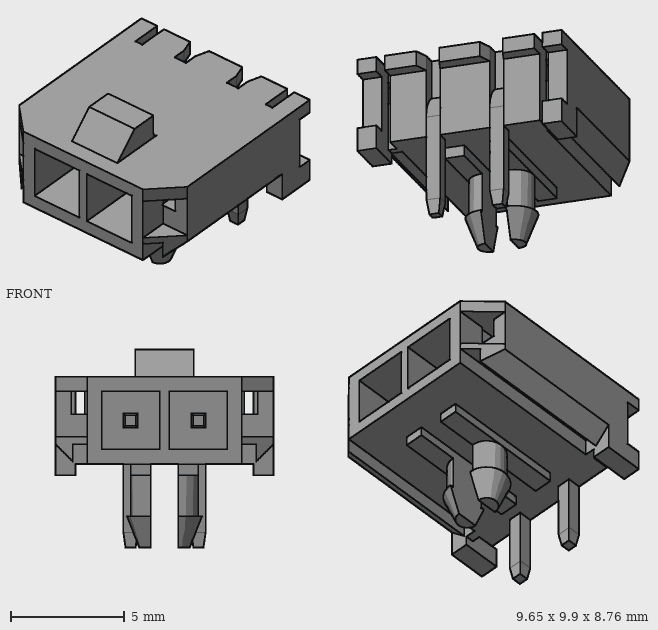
import cadquery as cq
import math


WIDTH = 9.65
DEPTH = 9.9
STANDOFF = 0.5
HEIGHT = 3.87
BOTTOM = STANDOFF
TOP = BOTTOM + HEIGHT
HALF_WIDTH = WIDTH / 2

OVERHANG = 0.69
REAR_WALL_Y = DEPTH - OVERHANG
ROOF_BOTTOM = TOP - 0.69
FOOT_WIDTH = 0.9
FOOT_FRONT_Y = 7.98
FOOT_TOP = 1.09

CORNER = 1.4
NICHE_BOTTOM = 1.72
NICHE_TOP = 3.72
SKIRT_TOP = 1.39
SKIRT_SIZE = 0.78

CLIP_SLOT_INSET = 0.9
CLIP_SLOT_WIDTH = 0.39
CLIP_SLOT_LENGTH = 1.51
CLIP_SLOT_FRONT_Y = DEPTH - CLIP_SLOT_LENGTH
CLIP_POCKET_WIDTH = 0.78
CLIP_POCKET_INSET = CLIP_SLOT_INSET - (CLIP_POCKET_WIDTH - CLIP_SLOT_WIDTH) / 2
CLIP_POCKET_BOTTOM = 2.71

PITCH = 3.0
CAVITY_SIZE = 2.57
CAVITY_PITCH = 2.99
CAVITY_DEPTH = 6.5

LATCH_WIDTH = 2.6
LATCH_HEIGHT = 1.2
LATCH_FRONT_Y = 0.8
LATCH_CREST_Y = 2.0
LATCH_REAR_Y = 3.31
LATCH_FILLET = 0.23

PEG_FLAT_X = 0.6
PEG_Y = 4.6
PEG_RADIUS = 0.9
PEG_BARB_RADIUS = 1.06
PEG_TIP_RADIUS = 0.52
PEG_BARB_Z = -1.8
RAIL_LENGTH = 6.02
RAIL_REAR_Y = 7.71

PIN_SIZE = 0.65
PIN_TIP_SIZE = 0.45
PIN_TAPER = 0.68
PIN_AXIS_Z = 2.43
PIN_FRONT_Y = 2.0
PIN_TAIL_Z = -3.19
PIN_BEND_OUTER = 1.3
PIN_BEND_INNER = PIN_BEND_OUTER - PIN_SIZE
PIN_TOP = PIN_AXIS_Z + PIN_SIZE / 2
PIN_BEND_Z = PIN_TOP - PIN_BEND_OUTER
PIN_TAIL_FRONT_Y = REAR_WALL_Y - PIN_SIZE
PIN_TAIL_AXIS_Y = REAR_WALL_Y - PIN_SIZE / 2
PIN_FLARE_WIDTH = 1.09

PIN_XS = [-PITCH / 2, PITCH / 2]
CAVITY_XS = [-CAVITY_PITCH / 2, CAVITY_PITCH / 2]


def block(x_min, x_max, y_min, y_max, z_min, z_max):
    """Axis-aligned box between the given limits."""
    size = (x_max - x_min, y_max - y_min, z_max - z_min)
    return cq.Workplane("XY").box(*size, centered=False).translate((x_min, y_min, z_min))


def side_block(inset_min, inset_max, y_min, y_max, z_min, z_max):
    """Left-hand box whose X limits are distances inward from the side wall."""
    return block(inset_min - HALF_WIDTH, inset_max - HALF_WIDTH, y_min, y_max, z_min, z_max)


def mirrored_pair(left):
    """A left-hand shape together with its mirror image across X = 0."""
    return [left, left.mirror("YZ")]


def make_shell():
    """Main block with 45-degree front corners and a roof that overhangs at the rear."""
    shell = block(-HALF_WIDTH, HALF_WIDTH, 0, DEPTH, BOTTOM, TOP)
    shell = shell.faces("<Y").edges("|Z").chamfer(CORNER)
    return shell.cut(block(-HALF_WIDTH, HALF_WIDTH, REAR_WALL_Y, DEPTH, BOTTOM, ROOF_BOTTOM))


def make_side_undercut():
    """Cutter along the lower side wall that leaves a wedge-shaped skirt before the foot."""
    skirt_inner_x = -HALF_WIDTH + SKIRT_SIZE
    core_x = -HALF_WIDTH + CORNER
    outline = [
        (-HALF_WIDTH, SKIRT_TOP),
        (skirt_inner_x, SKIRT_TOP - SKIRT_SIZE),
        (skirt_inner_x, SKIRT_TOP),
        (core_x, SKIRT_TOP),
        (core_x, BOTTOM),
        (-HALF_WIDTH, BOTTOM),
    ]
    return cq.Workplane("XZ").polyline(outline).close().extrude(-FOOT_FRONT_Y)


def make_foot():
    """Rear foot that stands on the board."""
    return side_block(0, FOOT_WIDTH, FOOT_FRONT_Y, DEPTH, 0, FOOT_TOP)


def make_side_cuts():
    """Undercut, square niche and stepped clip slot on the left-hand side."""
    clip_slot_end = CLIP_SLOT_INSET + CLIP_SLOT_WIDTH
    clip_pocket_end = CLIP_POCKET_INSET + CLIP_POCKET_WIDTH
    return [
        make_side_undercut(),
        side_block(0, CORNER, 0, CORNER, NICHE_BOTTOM, NICHE_TOP),
        side_block(
            CLIP_POCKET_INSET, clip_pocket_end, CORNER, CLIP_SLOT_FRONT_Y, CLIP_POCKET_BOTTOM, NICHE_TOP
        ),
        side_block(CLIP_SLOT_INSET, clip_slot_end, CLIP_SLOT_FRONT_Y, DEPTH, 0, TOP),
    ]


def make_cavity(x):
    """Square mating cavity, centred on the height of the housing."""
    half = CAVITY_SIZE / 2
    middle = (BOTTOM + TOP) / 2
    return block(x - half, x + half, 0, CAVITY_DEPTH, middle - half, middle + half)


def make_pin_channel(x):
    """Open channel above the pin bend, flaring outward through the roof overhang."""
    outline = [
        (x - PIN_SIZE / 2, PIN_TAIL_FRONT_Y),
        (x - PIN_SIZE / 2, REAR_WALL_Y),
        (x - PIN_FLARE_WIDTH / 2, DEPTH),
        (x + PIN_FLARE_WIDTH / 2, DEPTH),
        (x + PIN_SIZE / 2, REAR_WALL_Y),
        (x + PIN_SIZE / 2, PIN_TAIL_FRONT_Y),
    ]
    channel = cq.Workplane("XY").polyline(outline).close().extrude(TOP - PIN_BEND_Z)
    return channel.translate((0, 0, PIN_BEND_Z))


def make_latch():
    """Ramp on the roof with a concave fillet at its rear foot."""
    crest_z = TOP + LATCH_HEIGHT
    arc_offset = LATCH_FILLET * (1 - math.sqrt(0.5))
    profile = (
        cq.Workplane("YZ", origin=(-LATCH_WIDTH / 2, 0, 0))
        .moveTo(LATCH_FRONT_Y, TOP)
        .lineTo(LATCH_CREST_Y, crest_z)
        .lineTo(LATCH_REAR_Y, crest_z)
        .lineTo(LATCH_REAR_Y, TOP + LATCH_FILLET)
        .threePointArc(
            (LATCH_REAR_Y + arc_offset, TOP + arc_offset),
            (LATCH_REAR_Y + LATCH_FILLET, TOP),
        )
        .close()
    )
    return profile.extrude(LATCH_WIDTH)


def make_rail():
    """Left-hand rail under the housing that carries a peg."""
    return block(
        -PEG_FLAT_X - PEG_RADIUS, -PEG_FLAT_X, RAIL_REAR_Y - RAIL_LENGTH, RAIL_REAR_Y, 0, BOTTOM
    )


def make_peg():
    """Left-hand half-round peg with a barb that tapers to the tip."""
    profile = [
        (0, 0),
        (PEG_RADIUS, 0),
        (PEG_RADIUS, PEG_BARB_Z),
        (PEG_BARB_RADIUS, PEG_BARB_Z),
        (PEG_TIP_RADIUS, PIN_TAIL_Z),
        (0, PIN_TAIL_Z),
    ]
    whole = cq.Workplane("XZ").polyline(profile).close().revolve(360, (0, 0), (0, 1))
    inner_half = block(0, PEG_BARB_RADIUS, -PEG_BARB_RADIUS, PEG_BARB_RADIUS, PIN_TAIL_Z, 0)
    return whole.cut(inner_half).translate((-PEG_FLAT_X, PEG_Y, 0))


def make_pin(x):
    """Square pin: tapered contact, horizontal run, bend and tapered board tail."""
    half = PIN_SIZE / 2
    contact_y = PIN_FRONT_Y + PIN_TAPER
    tail_z = PIN_TAIL_Z + PIN_TAPER
    pin_bottom = PIN_AXIS_Z - half
    bend_y = REAR_WALL_Y - PIN_BEND_OUTER
    diagonal = math.sqrt(0.5)
    shank = (
        cq.Workplane("YZ", origin=(x - half, 0, 0))
        .moveTo(contact_y, PIN_TOP)
        .lineTo(bend_y, PIN_TOP)
        .threePointArc(
            (bend_y + PIN_BEND_OUTER * diagonal, PIN_BEND_Z + PIN_BEND_OUTER * diagonal),
            (REAR_WALL_Y, PIN_BEND_Z),
        )
        .lineTo(REAR_WALL_Y, tail_z)
        .lineTo(PIN_TAIL_FRONT_Y, tail_z)
        .lineTo(PIN_TAIL_FRONT_Y, PIN_BEND_Z)
        .threePointArc(
            (bend_y + PIN_BEND_INNER * diagonal, PIN_BEND_Z + PIN_BEND_INNER * diagonal),
            (bend_y, pin_bottom),
        )
        .lineTo(contact_y, pin_bottom)
        .close()
        .extrude(PIN_SIZE)
    )
    contact_plane = cq.Plane(origin=(x, contact_y, PIN_AXIS_Z), xDir=(1, 0, 0), normal=(0, -1, 0))
    tail_plane = cq.Plane(origin=(x, PIN_TAIL_AXIS_Y, tail_z), xDir=(1, 0, 0), normal=(0, 0, -1))
    contact_tip = make_pin_tip(contact_plane, PIN_TAPER)
    tail_tip = make_pin_tip(tail_plane, PIN_TAPER)
    return shank.union(contact_tip).union(tail_tip)


def make_pin_tip(plane, length):
    """Square pyramid frustum that finishes one end of a pin."""
    return (
        cq.Workplane(plane)
        .rect(PIN_SIZE, PIN_SIZE)
        .workplane(offset=length)
        .rect(PIN_TIP_SIZE, PIN_TIP_SIZE)
        .loft(ruled=True)
    )


def make_housing(pins):
    """Moulded housing with holes that fit the pins."""
    housing = make_shell()
    for cutter in make_side_cuts():
        for side_cutter in mirrored_pair(cutter):
            housing = housing.cut(side_cutter)
    for x in CAVITY_XS:
        housing = housing.cut(make_cavity(x))
    for x in PIN_XS:
        housing = housing.cut(make_pin_channel(x))
    for pin in pins:
        housing = housing.cut(pin)
    for addition in [make_foot(), make_rail(), make_peg()]:
        for side_addition in mirrored_pair(addition):
            housing = housing.union(side_addition)
    return housing.union(make_latch())


pins = [make_pin(x) for x in PIN_XS]
housing = make_housing(pins)
result = cq.Compound.makeCompound([housing.val(), *[pin.val() for pin in pins]])